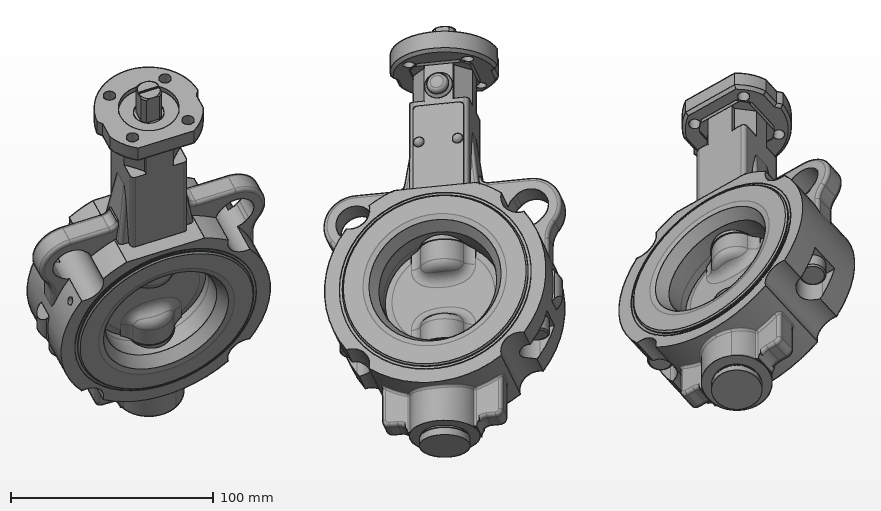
import cadquery as cq
import math

STEM_TOP = 148.4
PART_BOTTOM = -80.6

BODY_RADIUS = 56.0
BODY_HALF_WIDTH = 22.0
BODY_FLAT_Z = 52.0
FACE_HALF_WIDTH = 23.0
FACE_RADIUS = 47.0
FACE_CHAMFER = 0.8
FACE_GROOVE_RADIUS = 48.5
FACE_GROOVE_DEPTH = 0.5
SEAT_CONE_RADIUS = 36.3
SEAT_CONE_DEPTH = 0.7
BORE_MOUTH_RADIUS = 33.4
BORE_RADIUS = 29.6
BORE_CONE_DEPTH = 7.0
BORE_THROAT_RADIUS = 29.75
BORE_SEAT_HALF_WIDTH = 6.0
BORE_PAD_DIAMETER = 26.0
BORE_PAD_Z = 27.3

BOLT_CIRCLE_SMALL = 120.65
BOLT_CIRCLE_LARGE = 125.0
BOLT_SLOT_DIAMETER = 19.0

WEB_THICKNESS = 12.0
WEB_FILLET = 1.9
WEB_INSIDE_Y = 8.0
EAR_REACH_Y = 120.31 / 2
EAR_NECK_Y = 53.9
EAR_NECK_BLEND = 14.3
EAR_ROOT_Z = 10.0
EAR_COLUMN_Y = 19.2
EAR_COLUMN_BLEND = 4.0
LUG_HALF_SPAN = 30.5
LUG_BOTTOM = -69.5
LUG_CORNER_RADIUS = 3.5
LUG_INNER_Y = 22.5
LUG_FOOT_BLEND = 5.0
LUG_SIDE_BLEND = 1.2

COLUMN_SIZE_X = 28.5
COLUMN_SIZE_Y = 30.1
COLUMN_EDGE_RADIUS = 2.2
NECK_BOTTOM = 103.7
NECK_PAD_HALF_WIDTH = 7.3
NECK_PAD_INSET = 2.2
NECK_COLLAR_HEIGHT = 1.0
NECK_COLLAR_DIAMETER = 37.0
RIB_TOP = 89.0
RIB_BASE_HALF_WIDTH = 10.8
RIB_BASE_Y = 20.3
RIB_TIP_HALF_WIDTH = 5.8
RIB_EDGE_RADIUS = 1.9
RIB_EMBED = 3.0

FLANGE_TOP = 135.0
FLANGE_BOTTOM = 124.3
FLANGE_RADIUS = 27.0
FLANGE_CUT_X = 22.5
FLANGE_CUT_Y = 25.0
FLANGE_STEP_START = -1.5
FLANGE_STEP_END = 1.0
FLANGE_EDGE_CHAMFER = 1.6
FLANGE_BOLT_CIRCLE = 42.0
FLANGE_HOLE_DIAMETER = 6.0
FLANGE_RECESS_DIAMETER = 30.1
FLANGE_RECESS_DEPTH = 3.0
STEM_CLEARANCE_DIAMETER = 15.0
STEM_CLEARANCE_DEPTH = 1.0

STEM_DIAMETER = 13.0
STEM_SQUARE = 11.0
STEM_CHAMFER = 0.8
STEM_SLOT_WIDTH = 1.0
STEM_SLOT_DEPTH = 0.8

PLATE_WIDTH = 25.6
PLATE_BOTTOM = 54.8
PLATE_TOP = 101.0
PLATE_THICKNESS = 0.8
PLATE_CORNER_RADIUS = 2.0
RIVET_DIAMETER = 5.6
RIVET_Y = 9.8
RIVET_Z = 81.0
SCREW_Z = 111.7
SCREW_FOOT_DIAMETER = 14.0
SCREW_FOOT_HEIGHT = 1.5
SCREW_FOOT_FLARE = 0.9
SCREW_HEAD_DIAMETER = 11.0
SCREW_HEAD_HEIGHT = 4.2
SCREW_TIP_DIAMETER = 6.65

HUB_DIAMETER = 35.0
HUB_BOTTOM = -75.2
HUB_BLEND = 1.2
PLUG_DIAMETER = 25.0
PLUG_NECK_DIAMETER = 23.9
PLUG_NECK_HEIGHT = 1.2

DISC_HALF_THICKNESS = 3.0
DISC_FACE_RADIUS = 26.0
DISC_HUB_DIAMETER = 25.0
DISC_HUB_END_Z = 11.6
DISC_HUB_END_ROUND = 5.0
DISC_HUB_BLEND = 6.2
DISC_HUB_EMBED = 1.5
DISC_PAD_HALF_WIDTH = 16.3
DISC_RIM_HALF_WIDTH = 2.0

RIM_BOSS_RADIUS = 6.0
RIM_BOSS_REACH = 59.3
RIM_BOSS_HALF_WIDTH = 5.0
RIM_BOSS_HALF_LENGTH = 4.9
PIN_POCKET_DIAMETER = 16.5
PIN_POCKET_TOP = -16.0
PIN_DIAMETER = 13.0
PIN_BOTTOM = -24.2
PIN_CHAMFER = 0.8
PIN_Y = 46.3
DRAIN_DIAMETER = 4.0
DRAIN_DEPTH = 8.0
DRAIN_X = 15.5
DRAIN_ANGLE = 30.3

SIDES = (-1, 1)


def box(x0, x1, y0, y1, z0, z1):
    return cq.Workplane("XY").box(x1 - x0, y1 - y0, z1 - z0, centered=False).translate((x0, y0, z0))


def rod_z(diameter, z0, z1, x=0.0, y=0.0):
    return cq.Workplane("XY", origin=(x, y, z0)).circle(diameter / 2).extrude(z1 - z0)


def peg_toward_minus_x(diameter, x_base, height, y, z):
    return cq.Workplane("YZ", origin=(x_base, y, z)).circle(diameter / 2).extrude(-height)


def on_plus_y(feature):
    return feature


def on_minus_y(feature):
    return feature.mirror("XZ")


def both_y_sides(feature):
    return on_plus_y(feature).union(on_minus_y(feature))


def ring_body():
    """Ring with raised faces, as half a profile revolved about X and mirrored."""
    groove_floor = BODY_HALF_WIDTH - FACE_GROOVE_DEPTH
    seat_edge = FACE_HALF_WIDTH - SEAT_CONE_DEPTH
    half_profile = [
        (0, BORE_RADIUS),
        (BORE_SEAT_HALF_WIDTH, BORE_RADIUS),
        (FACE_HALF_WIDTH - BORE_CONE_DEPTH, BORE_THROAT_RADIUS),
        (seat_edge, BORE_MOUTH_RADIUS),
        (FACE_HALF_WIDTH, SEAT_CONE_RADIUS),
        (FACE_HALF_WIDTH, FACE_RADIUS - FACE_CHAMFER),
        (FACE_HALF_WIDTH - FACE_CHAMFER, FACE_RADIUS),
        (groove_floor, FACE_RADIUS),
        (groove_floor, FACE_GROOVE_RADIUS),
        (BODY_HALF_WIDTH, FACE_GROOVE_RADIUS),
        (BODY_HALF_WIDTH, BODY_RADIUS),
        (0, BODY_RADIUS),
    ]
    half = cq.Workplane("XY").polyline(half_profile).close().revolve(360, (0, 0, 0), (1, 0, 0))
    ring = half.union(half.mirror("YZ"))
    above_flat = box(-BODY_HALF_WIDTH, BODY_HALF_WIDTH, -BODY_RADIUS, BODY_RADIUS, BODY_FLAT_Z, BODY_RADIUS)
    return ring.cut(above_flat)


def inner_clearance():
    """Cylinder along X that keeps webs and hubs out of the ring's bore."""
    return cq.Workplane("YZ").circle(FACE_RADIUS).extrude(HUB_DIAMETER / 2, both=True)


def ear():
    """Ear on the +Y side, rounded around the bolt slot and blended into the column rib."""
    centre = BOLT_CIRCLE_LARGE / 2 * math.sqrt(0.5)
    radius = EAR_REACH_Y - centre
    top = centre + radius
    corner = centre + radius * math.sqrt(0.5)
    blend_centre_y = EAR_NECK_Y + EAR_NECK_BLEND
    flank_angle = math.acos((blend_centre_y - centre) / (radius + EAR_NECK_BLEND))
    flank_y = centre + radius * math.cos(flank_angle)
    flank_z = centre - radius * math.sin(flank_angle)
    neck_z = centre - (radius + EAR_NECK_BLEND) * math.sin(flank_angle)
    plate = (
        cq.Workplane("YZ", origin=(-WEB_THICKNESS / 2, 0, 0))
        .moveTo(WEB_INSIDE_Y, EAR_ROOT_Z)
        .lineTo(WEB_INSIDE_Y, top + EAR_COLUMN_BLEND)
        .lineTo(EAR_COLUMN_Y, top + EAR_COLUMN_BLEND)
        .radiusArc((EAR_COLUMN_Y + EAR_COLUMN_BLEND, top), -EAR_COLUMN_BLEND)
        .lineTo(centre, top)
        .threePointArc((corner, corner), (top, centre))
        .radiusArc((flank_y, flank_z), radius)
        .radiusArc((EAR_NECK_Y, neck_z), -EAR_NECK_BLEND)
        .lineTo(EAR_NECK_Y, EAR_ROOT_Z)
        .close()
        .extrude(WEB_THICKNESS)
        .faces("<X or >X")
        .edges()
        .fillet(WEB_FILLET)
    )
    return plate.cut(inner_clearance())


def lug_prism(thickness):
    """Sharp-edged lug on the +Y side of the hub, rounded at its foot, centred on X = 0."""
    foot_z = LUG_BOTTOM - LUG_FOOT_BLEND
    return (
        cq.Workplane("YZ", origin=(-thickness / 2, 0, 0))
        .moveTo(WEB_INSIDE_Y, -FACE_RADIUS / 2)
        .lineTo(LUG_HALF_SPAN, -FACE_RADIUS / 2)
        .lineTo(LUG_HALF_SPAN, LUG_BOTTOM + LUG_CORNER_RADIUS)
        .radiusArc((LUG_HALF_SPAN - LUG_CORNER_RADIUS, LUG_BOTTOM), LUG_CORNER_RADIUS)
        .lineTo(LUG_INNER_Y, LUG_BOTTOM)
        .radiusArc((LUG_INNER_Y - LUG_FOOT_BLEND, foot_z), -LUG_FOOT_BLEND)
        .lineTo(WEB_INSIDE_Y, foot_z)
        .close()
        .extrude(thickness)
    )


def lug():
    """Lug with rounded edges, flared where its sides meet the round hub."""
    web = lug_prism(WEB_THICKNESS).faces("<X or >X").edges().fillet(WEB_FILLET)
    flare_end_y = HUB_DIAMETER / 2 + LUG_SIDE_BLEND
    flare = rod_z(HUB_DIAMETER, HUB_BOTTOM, -FACE_RADIUS / 2)
    half_web = WEB_THICKNESS / 2
    flare = flare.union(box(-half_web, half_web, 0, flare_end_y, HUB_BOTTOM, -FACE_RADIUS / 2))
    at_hub_surface = cq.selectors.BoxSelector(
        (-HUB_DIAMETER / 2, WEB_INSIDE_Y, HUB_BOTTOM),
        (HUB_DIAMETER / 2, HUB_DIAMETER / 2, 0),
    )
    flare = flare.edges("|Z").edges(at_hub_surface).fillet(LUG_SIDE_BLEND)
    return web.union(flare.intersect(lug_prism(HUB_DIAMETER)))


def bottom_hub():
    """Hub below the ring with a lug on each side and a stepped plug underneath."""
    hub = rod_z(HUB_DIAMETER, HUB_BOTTOM, -FACE_RADIUS / 2)
    hub = hub.union(on_plus_y(lug())).union(on_minus_y(lug())).cut(inner_clearance())
    plug_neck = rod_z(PLUG_NECK_DIAMETER, HUB_BOTTOM - PLUG_NECK_HEIGHT, HUB_BOTTOM)
    plug = rod_z(PLUG_DIAMETER, PART_BOTTOM, HUB_BOTTOM - PLUG_NECK_HEIGHT)
    return hub.union(plug_neck).union(plug)


def ring_with_hub():
    """Ring body and bottom hub, with a fillet all along the line where they meet."""
    joint = cq.selectors.BoxSelector(
        (-HUB_DIAMETER / 2, -LUG_HALF_SPAN - HUB_BLEND, -BODY_RADIUS - HUB_BLEND),
        (HUB_DIAMETER / 2, LUG_HALF_SPAN + HUB_BLEND, -FACE_RADIUS + HUB_BLEND),
    )
    return ring_body().union(bottom_hub()).edges(joint).fillet(HUB_BLEND)


def column():
    """Rounded rectangular column whose neck has its four corners cut off at 45 degrees."""
    half_x = COLUMN_SIZE_X / 2
    half_y = COLUMN_SIZE_Y / 2
    shaft = (
        cq.Workplane("XY", origin=(0, 0, FACE_RADIUS))
        .rect(COLUMN_SIZE_X, COLUMN_SIZE_Y)
        .extrude(NECK_BOTTOM - FACE_RADIUS)
        .edges("|Z")
        .fillet(COLUMN_EDGE_RADIUS)
    )
    pad_x = half_x - NECK_PAD_INSET
    corner_cut = half_y - NECK_PAD_HALF_WIDTH
    quarter = [(half_x, 0), (half_x, NECK_PAD_HALF_WIDTH), (pad_x, NECK_PAD_HALF_WIDTH),
               (pad_x - corner_cut, half_y), (0, half_y), (0, 0)]
    neck_quarter = (
        cq.Workplane("XY", origin=(0, 0, NECK_BOTTOM))
        .polyline(quarter)
        .close()
        .extrude(FLANGE_BOTTOM - NECK_BOTTOM)
    )
    neck_half = neck_quarter.union(neck_quarter.mirror("YZ"))
    collar = (
        cq.Workplane("XY", origin=(0, 0, FLANGE_BOTTOM - NECK_COLLAR_HEIGHT))
        .rect(COLUMN_SIZE_X, COLUMN_SIZE_Y)
        .workplane(offset=NECK_COLLAR_HEIGHT)
        .rect(COLUMN_SIZE_X + 2 * NECK_COLLAR_HEIGHT, COLUMN_SIZE_Y + 2 * NECK_COLLAR_HEIGHT)
        .loft()
        .intersect(rod_z(NECK_COLLAR_DIAMETER, NECK_BOTTOM, FLANGE_BOTTOM))
    )
    return shaft.union(both_y_sides(neck_half)).union(collar)


def column_rib():
    """Tapered rib on the +Y face of the column, standing on the ring's top flat."""
    inside_y = COLUMN_SIZE_Y / 2 - RIB_EMBED
    tip_y = COLUMN_SIZE_Y / 2
    base_z = BODY_FLAT_Z - RIB_EMBED
    wedge = (
        cq.Workplane("XY", origin=(0, (inside_y + RIB_BASE_Y) / 2, base_z))
        .rect(2 * RIB_BASE_HALF_WIDTH, RIB_BASE_Y - inside_y)
        .workplane(offset=RIB_TOP - base_z, origin=(0, (inside_y + tip_y) / 2, base_z))
        .rect(2 * RIB_TIP_HALF_WIDTH, tip_y - inside_y)
        .loft(ruled=True)
    )
    return wedge.faces(">Y").edges("not |X").fillet(RIB_EDGE_RADIUS)


def actuator_flange():
    """Round flange with a flat on the +X side, two side flats and four bolt holes."""
    radius = FLANGE_RADIUS
    step_start_y = math.sqrt(radius**2 - FLANGE_STEP_START**2)
    flat_end_x = math.sqrt(radius**2 - FLANGE_CUT_Y**2)
    cut_end_y = math.sqrt(radius**2 - FLANGE_CUT_X**2)
    flange = (
        cq.Workplane("XY", origin=(0, 0, FLANGE_BOTTOM))
        .moveTo(FLANGE_STEP_START, -step_start_y)
        .threePointArc((-radius, 0), (FLANGE_STEP_START, step_start_y))
        .lineTo(FLANGE_STEP_END, FLANGE_CUT_Y)
        .lineTo(flat_end_x, FLANGE_CUT_Y)
        .radiusArc((FLANGE_CUT_X, cut_end_y), radius)
        .lineTo(FLANGE_CUT_X, -cut_end_y)
        .radiusArc((flat_end_x, -FLANGE_CUT_Y), radius)
        .lineTo(FLANGE_STEP_END, -FLANGE_CUT_Y)
        .close()
        .extrude(FLANGE_TOP - FLANGE_BOTTOM)
        .faces("<Z")
        .edges()
        .chamfer(FLANGE_EDGE_CHAMFER)
    )
    recess_floor = FLANGE_TOP - FLANGE_RECESS_DEPTH
    flange = flange.cut(rod_z(FLANGE_RECESS_DIAMETER, recess_floor, FLANGE_TOP))
    flange = flange.cut(rod_z(STEM_CLEARANCE_DIAMETER, recess_floor - STEM_CLEARANCE_DEPTH, recess_floor))
    bolt_holes = (
        cq.Workplane("XY", origin=(0, 0, FLANGE_BOTTOM))
        .polarArray(FLANGE_BOLT_CIRCLE / 2, 45, 360, 4)
        .circle(FLANGE_HOLE_DIAMETER / 2)
        .extrude(FLANGE_TOP - FLANGE_BOTTOM)
    )
    return flange.cut(bolt_holes)


def stem():
    """Stem end: a square with corners rounded to the stem diameter and a slot across the top."""
    base_z = FLANGE_BOTTOM
    half = STEM_SQUARE / 2
    rod = rod_z(STEM_DIAMETER, base_z, STEM_TOP).faces(">Z").edges().chamfer(STEM_CHAMFER)
    rod = rod.intersect(box(-half, half, -half, half, base_z, STEM_TOP))
    half_slot = STEM_SLOT_WIDTH / 2
    return rod.cut(box(-half_slot, half_slot, -half, half, STEM_TOP - STEM_SLOT_DEPTH, STEM_TOP))


def name_plate():
    """Thin plate with two domed rivets on the -X face of the column."""
    face_x = -COLUMN_SIZE_X / 2
    half_width = PLATE_WIDTH / 2
    plate_x = face_x - PLATE_THICKNESS
    plate = box(plate_x, face_x, -half_width, half_width, PLATE_BOTTOM, PLATE_TOP)
    plate = plate.edges("|X and >Z").fillet(PLATE_CORNER_RADIUS)
    for side in SIDES:
        rivet = cq.Workplane("XY", origin=(face_x, side * RIVET_Y, RIVET_Z)).sphere(RIVET_DIAMETER / 2)
        plate = plate.union(rivet)
    return plate


def neck_screw():
    """Round-headed screw on the -X pad of the neck, with a flared foot."""
    face_x = -COLUMN_SIZE_X / 2
    head = peg_toward_minus_x(SCREW_HEAD_DIAMETER, face_x, SCREW_HEAD_HEIGHT, 0, SCREW_Z)
    head = head.faces("<X").edges().fillet((SCREW_HEAD_DIAMETER - SCREW_TIP_DIAMETER) / 2)
    flare = peg_toward_minus_x(SCREW_FOOT_DIAMETER, face_x, SCREW_FOOT_HEIGHT, 0, SCREW_Z)
    flare = flare.faces("<X").edges().chamfer(SCREW_FOOT_HEIGHT * SCREW_FOOT_FLARE, SCREW_FOOT_HEIGHT)
    return head.union(flare)


def disc_hub():
    """Upper stem hub of the disc: a round-ended cylinder flaring into a pad on both disc faces."""
    half = DISC_HALF_THICKNESS
    outer = BORE_RADIUS + DISC_HUB_EMBED
    rod = rod_z(DISC_HUB_DIAMETER, DISC_HUB_END_Z, outer)
    rod = rod.faces("<Z").edges().fillet(DISC_HUB_END_ROUND)
    hub = box(-half, half, -outer, outer, 0, outer).union(rod)
    at_rod = cq.selectors.BoxSelector(
        (-half, -DISC_HUB_DIAMETER / 2, DISC_HUB_END_Z / 2),
        (half, DISC_HUB_DIAMETER / 2, outer - DISC_HUB_EMBED / 2),
    )
    hub = hub.faces("<X[1] or >X[1]").edges(at_rod).fillet(DISC_HUB_BLEND)
    pad = box(-outer, outer, -DISC_PAD_HALF_WIDTH, DISC_PAD_HALF_WIDTH, 0, outer)
    return hub.intersect(pad).intersect(cq.Workplane("XY").sphere(outer))


def disc():
    """Closed disc in the bore with bevelled rims and a stem hub at the top and the bottom."""
    half = DISC_HALF_THICKNESS
    half_profile = [(-half, 0), (-half, DISC_FACE_RADIUS), (-DISC_RIM_HALF_WIDTH, BORE_RADIUS),
                    (DISC_RIM_HALF_WIDTH, BORE_RADIUS), (half, DISC_FACE_RADIUS), (half, 0)]
    plate = cq.Workplane("XY").polyline(half_profile).close().revolve(360, (0, 0, 0), (1, 0, 0))
    return plate.union(disc_hub()).union(disc_hub().mirror("XY"))


def bore_pad():
    """Round flat pad on the bore wall around the upper end of the disc."""
    return rod_z(BORE_PAD_DIAMETER, BORE_PAD_Z, BORE_RADIUS + DISC_HUB_EMBED)


def bolt_slot(side_z):
    """Rounded slot through the body on the +Y side, long enough to cover both bolt circles."""
    middle = (BOLT_CIRCLE_SMALL + BOLT_CIRCLE_LARGE) / 4 * math.sqrt(0.5)
    length = (BOLT_CIRCLE_LARGE - BOLT_CIRCLE_SMALL) / 2 + BOLT_SLOT_DIAMETER
    return (
        cq.Workplane("YZ", origin=(0, middle, side_z * middle))
        .slot2D(length, BOLT_SLOT_DIAMETER, 45 * side_z)
        .extrude(BODY_HALF_WIDTH, both=True)
    )


def rim_boss():
    """Convex boss on the -Y rim with both ends cut at 45 degrees."""
    inside_y = FACE_RADIUS
    tip = RIM_BOSS_REACH
    wedge_length = RIM_BOSS_HALF_LENGTH + tip - inside_y
    rod = rod_z(2 * RIM_BOSS_RADIUS, -wedge_length, wedge_length, 0, RIM_BOSS_RADIUS - tip)
    wedge = (
        cq.Workplane("YZ")
        .polyline([(-tip, -RIM_BOSS_HALF_LENGTH), (-tip, RIM_BOSS_HALF_LENGTH),
                   (-inside_y, wedge_length), (-inside_y, -wedge_length)])
        .close()
        .extrude(RIM_BOSS_HALF_WIDTH, both=True)
    )
    return rod.intersect(wedge)


def pin_pocket():
    """Vertical round pocket in the lower +Y rim, opening into the bolt slot below it."""
    bottom = -BODY_RADIUS * math.sqrt(0.5)
    half = PIN_POCKET_DIAMETER / 2
    bore = rod_z(PIN_POCKET_DIAMETER, bottom, PIN_POCKET_TOP, 0, PIN_Y)
    return bore.union(box(-half, half, PIN_Y, BODY_RADIUS, bottom, PIN_POCKET_TOP))


def pin():
    """Chamfered pin hanging from the roof of the pocket."""
    rod = rod_z(PIN_DIAMETER, PIN_BOTTOM, PIN_POCKET_TOP, 0, PIN_Y)
    return rod.faces("<Z").edges().chamfer(PIN_CHAMFER)


def drain_hole():
    """Radial blind hole in the -Y rim near the +X face."""
    hole = cq.Workplane("XZ", origin=(DRAIN_X, -BODY_RADIUS + DRAIN_DEPTH, 0)).circle(DRAIN_DIAMETER / 2)
    return hole.extrude(2 * DRAIN_DEPTH).rotate((0, 0, 0), (1, 0, 0), -DRAIN_ANGLE)


result = ring_with_hub().union(column())
for place in (on_plus_y, on_minus_y):
    result = result.union(place(ear())).union(place(column_rib()))
    result = result.cut(place(pin_pocket())).union(place(pin()))
    for side_z in SIDES:
        result = result.cut(place(bolt_slot(side_z)))
result = result.union(rim_boss()).cut(drain_hole())
result = result.union(actuator_flange()).union(stem())
result = result.union(name_plate()).union(neck_screw()).union(disc())
result = result.union(bore_pad()).union(bore_pad().mirror("XY"))